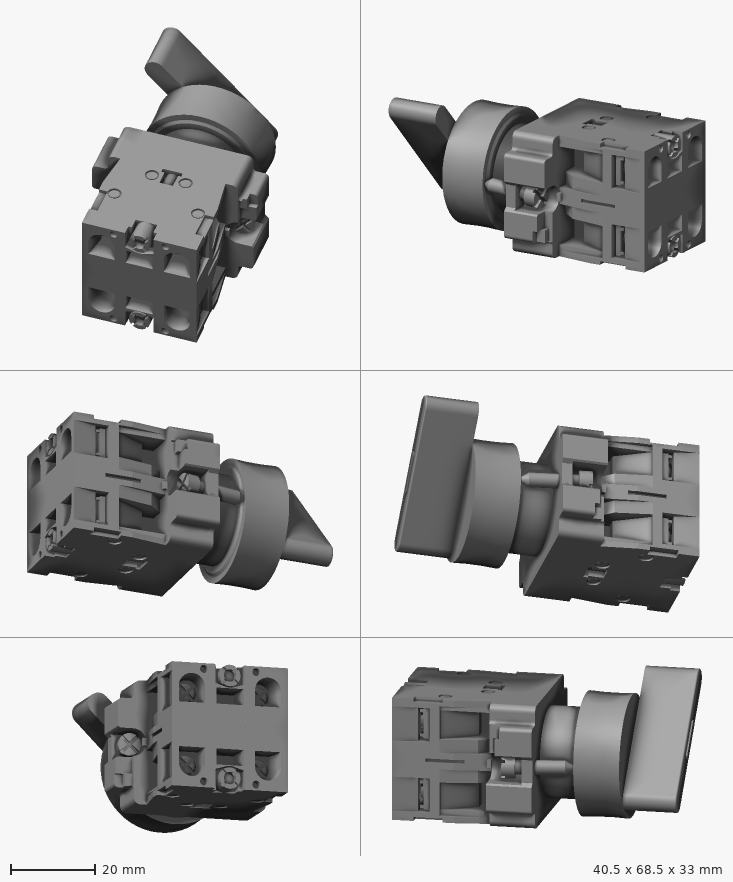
import cadquery as cq
import math


block_length = 24.0
base_back_y = block_length
base_front_y = 35.05
bezel_back_y = 44.0
bezel_front_y = 55.1
lever_front_y = 68.15
marker_front_y = 68.5

block_half_width = 14.4
block_height = 15.0
block_neck_half_width = 13.2
flare_start_y = 15.0

side_pocket_y = 11.5
side_step_z = (12.2, 13.5)
side_deep_z = (5.25, 12.2)
side_ledge_z = (2.0, side_deep_z[0])
deep_wall_x = (13.1, 8.7)
deep_wall_end_y = 19.85
deep_back_x = 6.0
ledge_bend_x = 12.9
ledge_bend_y = 20.5
ledge_end_x = 10.0

terminal_x = 8.95
terminal_z = 8.75
terminal_depth = 9.05
terminal_mouth_depth = 6.0
terminal_mouth_x = (6.2, 12.7)
terminal_mouth_floor_z = 5.42
terminal_mouth_top_z = 12.45
terminal_window_z = (4.4, 12.85)
terminal_cavity_inner_x = 5.2
side_wall_draft = 1.16
clamp_half_height = 3.7
clamp_x = (5.8, 13.0)
clamp_y = (7.3, 8.6)
clamp_lip_z = (2.65, 3.35)
clamp_lip_front_y = 6.45
clamp_lip_thickness = 0.4
terminal_shank_radius = 1.7
terminal_head_radius = 2.6
terminal_head_height = 1.3
terminal_head_rounding = 1.0
terminal_slot_width = 0.9
terminal_slot_depth = 0.7

captive_z = 12.4
captive_radius = block_height - captive_z
captive_length = 5.15
captive_socket_radius = 1.5
captive_socket_depth = 2.0
captive_slot_width = 0.75
captive_slot_depth = 0.9
captive_channel_half_width = 2.7
captive_notch_half_width = 3.56
captive_notch_depth = 2.4
captive_notch_shoulder_z = 10.4
captive_notch_bottom_z = 9.5
captive_notch_bottom_half_width = 0.6

probe_half_width = 3.38
probe_z = (terminal_mouth_floor_z, 9.3)
probe_depth = 8.0

marker_hole_x = 6.5
marker_hole_z = 13.6
marker_hole_radius = 0.95
marker_hole_depth = 2.0

rear_pin_radius = 1.7
rear_pin_y = 19.2
rear_notch_half_width = 2.5
rear_notch_y = 22.9

rivet_places = [(4.22, 21.1), (10.5, 12.1)]
rivet_outer_radius = 1.7
rivet_inner_radius = 1.27
rivet_groove_depth = 0.5
rivet_top_depth = 0.2

edge_recess_y = (5.15, 12.2)
edge_recess_width = 2.15
edge_recess_depth = 0.95

seam_slot_y = (8.05, 17.5)
seam_slot_half_height = 0.5
seam_slot_depth = 1.2

locating_tab_length = 1.0
locating_tab_half_height = 0.95

base_half_width = 16.34
ear_half_width = 20.25
ear_height = 10.54
base_corner_radius = 1.6
ear_corner_radius = 1.0
ear_root_radius = 0.9
selection_margin = 0.1
notch_half_width = 19.3
notch_half_height = 2.8
notch_lip_z = 3.7

stepped_ear_z = 7.45
stepped_ear_x = 18.25
stepped_ear_y = 26.05
stepped_ear_corner_y = 27.2
stepped_ear_tab_y = 25.0

screw_channel_radius = 3.3
screw_channel_floor_y = 32.45
screw_tilt = 9.6
screw_head_x = 16.5
screw_head_y = 27.0
screw_head_radius = 2.73
screw_head_height = 3.2
screw_shank_radius = 1.75
screw_shank_end = 15.1
screw_length = 16.8
screw_tip_radius = 0.7
screw_slot_width = 0.9
screw_slot_depth = 0.9

barrel_radius = 11.0
collar_front_radius = 13.4
collar_back_radius = 12.7
collar_length = 0.5
bezel_back_radius = 15.0
bezel_front_radius = 14.93
bezel_waist_radius = 14.75

lever_half_width = 2.66
lever_tip = 21.75
lever_tail = 11.8
lever_angle = 135
lever_edge_radius = 0.35
marker_half_width = 1.0
marker_reach = (0.85, 9.5)


def box(x, y, z):
    """Box spanning three (low, high) ranges."""
    size = (x[1] - x[0], y[1] - y[0], z[1] - z[0])
    return cq.Workplane("XY").box(*size, centered=False).translate((x[0], y[0], z[0]))


def cylinder_y(radius, y, x=0.0, z=0.0):
    """Cylinder along Y spanning the (low, high) range y."""
    solid = cq.Solid.makeCylinder(radius, y[1] - y[0], cq.Vector(x, y[0], z), cq.Vector(0, 1, 0))
    return cq.Workplane(obj=solid)


def prism_z(points, z):
    """Prism with an (x, y) outline spanning the range z."""
    return cq.Workplane("XY").workplane(offset=z[0]).polyline(points).close().extrude(z[1] - z[0])


def prism_y(points, y):
    """Prism with an (x, z) outline spanning the range y."""
    return cq.Workplane("XZ", origin=(0, y[0], 0)).polyline(points).close().extrude(y[0] - y[1])


def cross_slots(length, width, y, x=0.0, z=0.0):
    """Two slots crossed at 45 degrees, spanning the range y."""
    blades = cq.Workplane("XZ", origin=(x, y[0], z)).rect(length, width).extrude(y[0] - y[1])
    blades = blades.union(blades.rotate((x, 0, z), (x, 1, z), 90))
    return blades.rotate((x, 0, z), (x, 1, z), 45)


def on_both_sides(shape):
    """The shape together with its mirror image across X = 0."""
    return shape.union(shape.mirror("YZ"))


def side_pockets():
    """Stepped pocket in the +X side, open towards the base."""
    outside = block_half_width + 1
    near = side_pocket_y
    far = block_length
    step = box((block_neck_half_width, outside), (near, far), side_step_z)
    deep = prism_z(
        [
            (outside, near),
            (deep_wall_x[0], near),
            (deep_wall_x[1], deep_wall_end_y),
            (deep_back_x, deep_wall_end_y),
            (deep_back_x, far),
            (outside, far),
        ],
        side_deep_z,
    )
    ledge = prism_z(
        [
            (outside, near),
            (block_half_width, near),
            (ledge_bend_x, ledge_bend_y),
            (ledge_end_x, far),
            (outside, far),
        ],
        side_ledge_z,
    )
    return step.union(deep).union(ledge)


def terminal_pocket():
    """Arched wire entry, clamp cavity and side window of the +X terminal."""
    inner_x, outer_x = terminal_mouth_x
    radius = (outer_x - inner_x) / 2
    arch_z = terminal_mouth_top_z - radius
    mouth = cq.Workplane("XZ")
    for width, depth in (
        (outer_x - inner_x, 0),
        (outer_x - inner_x - side_wall_draft, terminal_mouth_depth),
    ):
        mouth = (
            mouth.workplane(offset=-depth)
            .moveTo(inner_x, terminal_mouth_floor_z)
            .lineTo(inner_x + width, terminal_mouth_floor_z)
            .lineTo(inner_x + width, arch_z)
            .threePointArc((inner_x + width / 2, arch_z + width / 2), (inner_x, arch_z))
            .close()
        )
    mouth = mouth.loft(ruled=True)
    outer_lean = prism_z(
        [
            (block_half_width, 0),
            (block_half_width - side_wall_draft, terminal_mouth_depth),
            (block_half_width, terminal_mouth_depth),
        ],
        terminal_window_z,
    )
    cavity = box(
        (terminal_cavity_inner_x, block_half_width),
        (terminal_mouth_depth, terminal_depth),
        terminal_window_z,
    )
    return cavity.union(mouth).union(outer_lean)


def terminal_screw():
    """Clamp plate and domed, cross-slotted screw head of the +X terminal."""
    clamp_front, clamp_back = clamp_y
    face_y = clamp_front - terminal_head_height
    plate = box(
        clamp_x,
        clamp_y,
        (terminal_z - clamp_half_height, terminal_z + clamp_half_height),
    )
    lip_x = (clamp_x[1] - clamp_lip_thickness, clamp_x[1])
    lip_y = (clamp_lip_front_y, clamp_front)
    lip_near, lip_far = clamp_lip_z
    plate = plate.union(box(lip_x, lip_y, (terminal_z + lip_near, terminal_z + lip_far)))
    plate = plate.union(box(lip_x, lip_y, (terminal_z - lip_far, terminal_z - lip_near)))
    shank = cylinder_y(terminal_shank_radius, (clamp_back, terminal_depth), terminal_x, terminal_z)
    head = cylinder_y(terminal_head_radius, (face_y, clamp_front), terminal_x, terminal_z)
    head = head.faces("<Y").edges().fillet(terminal_head_rounding)
    slots = cross_slots(
        2 * terminal_head_radius,
        terminal_slot_width,
        (face_y, face_y + terminal_slot_depth),
        terminal_x,
        terminal_z,
    )
    return plate.union(shank).union(head.cut(slots))


def captive_screw_recess():
    """Notch and channel around the captive screw in the outer face."""
    wide = captive_notch_half_width
    narrow = captive_notch_bottom_half_width
    notch = prism_y(
        [
            (-wide, block_height),
            (-wide, captive_notch_shoulder_z),
            (-narrow, captive_notch_bottom_z),
            (narrow, captive_notch_bottom_z),
            (wide, captive_notch_shoulder_z),
            (wide, block_height),
        ],
        (0, captive_notch_depth),
    )
    channel = box(
        (-captive_channel_half_width, captive_channel_half_width),
        (0, captive_length),
        (captive_z, block_height),
    )
    return notch.union(channel)


def captive_screw():
    screw = cylinder_y(captive_radius, (0, captive_length), 0, captive_z)
    socket = cylinder_y(captive_socket_radius, (0, captive_socket_depth), 0, captive_z)
    slots = cross_slots(
        2 * captive_radius,
        captive_slot_width,
        (0, captive_slot_depth),
        0,
        captive_z,
    )
    return screw.cut(socket).cut(slots)


def rear_pin_recess():
    notch = box(
        (-rear_notch_half_width, rear_notch_half_width),
        (rear_notch_y, block_length),
        (captive_z, block_height),
    )
    channel = box(
        (-rear_pin_radius, rear_pin_radius),
        (rear_pin_y, block_length),
        (captive_z, block_height),
    )
    return notch.union(channel)


def rivet_recesses():
    """Round recesses in the +X half of the outer face, each with a sunk rivet top."""
    floor = cq.Workplane("XY", origin=(0, 0, block_height - rivet_groove_depth))
    holes = floor.pushPoints(rivet_places).circle(rivet_outer_radius).extrude(rivet_groove_depth)
    rivet_height = rivet_groove_depth - rivet_top_depth
    rivets = floor.pushPoints(rivet_places).circle(rivet_inner_radius).extrude(rivet_height)
    return holes.cut(rivets)


def contact_block():
    """Upper contact block; its seam face lies on Z = 0."""
    half = block_half_width
    neck = block_neck_half_width
    block = prism_z(
        [
            (-half, 0),
            (half, 0),
            (half, flare_start_y),
            (neck, block_length),
            (-neck, block_length),
            (-half, flare_start_y),
        ],
        (0, block_height),
    )
    edge_recess = box(
        (half - edge_recess_width, half),
        edge_recess_y,
        (block_height - edge_recess_depth, block_height),
    )
    seam_slot = box((half - seam_slot_depth, half), seam_slot_y, (0, seam_slot_half_height))
    marker_hole = cylinder_y(marker_hole_radius, (0, marker_hole_depth), marker_hole_x, marker_hole_z)
    for pocket in (
        side_pockets(),
        terminal_pocket(),
        edge_recess,
        seam_slot,
        marker_hole,
        rivet_recesses(),
    ):
        block = block.cut(on_both_sides(pocket))

    probe_opening = box((-probe_half_width, probe_half_width), (0, probe_depth), probe_z)
    block = block.cut(probe_opening).cut(captive_screw_recess()).cut(rear_pin_recess())
    rear_pin = cylinder_y(rear_pin_radius, (rear_pin_y, block_length), 0, captive_z)
    locating_tab = box(
        (block_neck_half_width - locating_tab_length, block_half_width),
        (block_length - locating_tab_length, block_length),
        (0, locating_tab_half_height),
    )
    for side_detail in (terminal_screw(), locating_tab):
        block = block.union(on_both_sides(side_detail))
    return block.union(captive_screw()).union(rear_pin)


def base_plate():
    """Four-eared outline with a notch between the ears on each side."""
    y = (base_back_y, base_front_y)
    plate = box((-base_half_width, base_half_width), y, (-block_height, block_height))
    plate = plate.edges("|Y").fillet(base_corner_radius)
    ears = box((-ear_half_width, ear_half_width), y, (-ear_height, ear_height))
    ears = ears.edges("|Y").fillet(ear_corner_radius)
    plate = plate.union(ears)
    root_x = base_half_width + selection_margin
    root_z = ear_height + selection_margin
    root = cq.selectors.BoxSelector((-root_x, y[0], -root_z), (root_x, y[1], root_z))
    plate = plate.edges("|Y").edges(root).fillet(ear_root_radius)
    notch = prism_y(
        [
            (ear_half_width, notch_lip_z),
            (notch_half_width, notch_half_height),
            (notch_half_width, -notch_half_height),
            (ear_half_width, -notch_lip_z),
        ],
        y,
    )
    return plate.cut(on_both_sides(notch))


def ear_steps():
    """Stepped end of the upper ear on the +X side."""
    root_x = base_half_width
    tip_x = ear_half_width
    shelf = box((root_x, tip_x), (base_back_y, stepped_ear_y), (0, stepped_ear_z))
    corner = box(
        (stepped_ear_x, tip_x),
        (base_back_y, stepped_ear_corner_y),
        (stepped_ear_z, ear_height),
    )
    tab = box(
        (root_x, stepped_ear_x),
        (base_back_y, stepped_ear_tab_y),
        (stepped_ear_z, ear_height),
    )
    return shelf.union(corner).union(tab)


def screw_channel():
    """Round-bottomed channel for the +X mounting screw, open outwards."""
    y = (base_back_y, screw_channel_floor_y)
    round_end = cylinder_y(screw_channel_radius, y, screw_head_x)
    mouth = box((screw_head_x, ear_half_width), y, (-screw_channel_radius, screw_channel_radius))
    return round_end.union(mouth)


def mounting_screw():
    """Pointed +X mounting screw, leaning towards the switch axis."""
    outline = [
        (0, 0),
        (screw_head_radius, 0),
        (screw_head_radius, screw_head_height),
        (screw_shank_radius, screw_head_height),
        (screw_shank_radius, screw_shank_end),
        (screw_tip_radius, screw_length),
        (0, screw_length),
    ]
    screw = cq.Workplane("XY").polyline(outline).close().revolve(360, (0, 0), (0, 1))
    screw = screw.cut(cross_slots(2 * screw_head_radius, screw_slot_width, (0, screw_slot_depth)))
    screw = screw.rotate((0, 0, 0), (0, 0, 1), screw_tilt)
    return screw.translate((screw_head_x, screw_head_y, 0))


def mounting_base():
    base = base_plate()
    steps = ear_steps()
    base = base.cut(steps).cut(steps.rotate((0, 0, 0), (0, 1, 0), 180))
    base = base.cut(on_both_sides(screw_channel()))
    return base.union(on_both_sides(mounting_screw()))


def bezel_head():
    """Waisted bezel with its rear collar and barrel."""
    collar_y = bezel_back_y - collar_length
    waist_y = (bezel_back_y + bezel_front_y) / 2
    return (
        cq.Workplane("XY")
        .moveTo(0, base_front_y)
        .lineTo(barrel_radius, base_front_y)
        .lineTo(barrel_radius, collar_y)
        .lineTo(collar_back_radius, collar_y)
        .lineTo(collar_front_radius, bezel_back_y)
        .lineTo(bezel_back_radius, bezel_back_y)
        .threePointArc((bezel_waist_radius, waist_y), (bezel_front_radius, bezel_front_y))
        .lineTo(0, bezel_front_y)
        .close()
        .revolve(360, (0, 0), (0, 1))
    )


def radial_slot(near, far, half_width, y):
    """Round-ended bar lying along the lever direction, spanning the range y."""
    direction = math.radians(lever_angle)
    middle = (near + far) / 2
    return (
        cq.Workplane("XZ", origin=(0, y[0], 0))
        .center(middle * math.cos(direction), middle * math.sin(direction))
        .slot2D(far - near + 2 * half_width, 2 * half_width, lever_angle)
        .extrude(y[0] - y[1])
    )


def lever_knob():
    lever = radial_slot(-lever_tail, lever_tip, lever_half_width, (bezel_front_y, lever_front_y))
    lever = lever.faces(">Y").edges().fillet(lever_edge_radius)
    pointer = radial_slot(*marker_reach, marker_half_width, (lever_front_y, marker_front_y))
    return lever.union(pointer)


upper_block = contact_block()
lower_block = upper_block.mirror("XY")
base = mounting_base()
head = bezel_head()
knob = lever_knob()

result = cq.Compound.makeCompound(
    [body.solids().val() for body in (upper_block, lower_block, base, head, knob)]
)